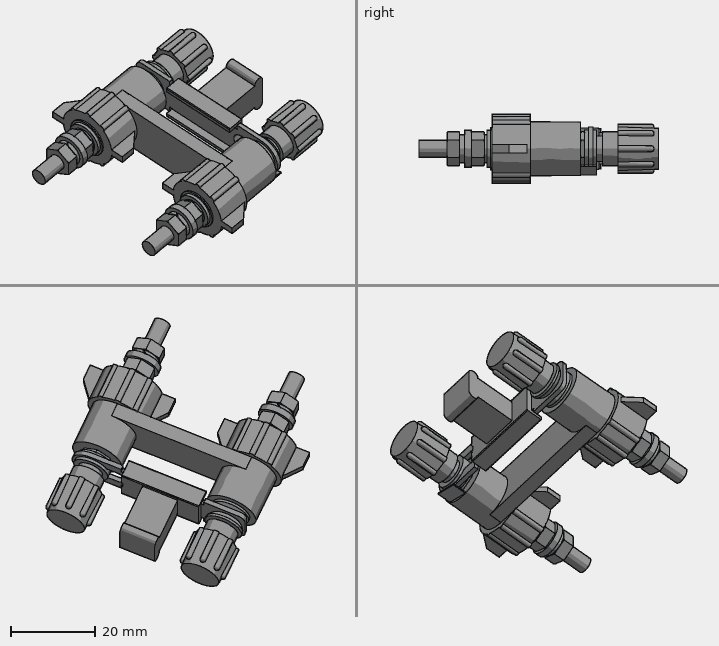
import cadquery as cq
import math

post_x = 17.45
across_flats = 7.0
nut_corner_radius = 3.9
stud_radius = 2.05
washer_radius = 4.45
spring_washer_radius = 3.35
spring_washer_slit = 0.2
spring_washer_slit_angle = 45

outer_nut_start = 6.7
outer_spring_start = 9.7
outer_washer_start = 10.9
inner_nut_start = 12.5
inner_spring_start = 15.55
inner_washer_start = 16.2
flange_start = 17.05
clamp_start = 17.45
body_start = 26.5
body_end = 38.5
link_start = 40.3
link_end = 41.45
collar_start = 43.65
cap_start = 47.3
cap_end = 57.0

flange_radius = 5.0
clamp_radius = 7.7
clamp_rib_radius = 0.75
clamp_height = 16.5
clamp_rib_tip = clamp_height / 2
clamp_rib_angles = (0, 36, 144, 180, 216, 324)
wing_reach = 11.05
wing_thickness = 1.95
wing_shoulder = 21.45
wing_top = 25.65

body_radius = 6.45
body_end_radius = 6.4
neck_radius = 3.1
collar_radius = 4.05
cap_radius = 5.25
cap_end_radius = 4.9
cap_rib_count = 8
cap_rib_radius = 0.75
cap_rib_tip = 5.85
cap_rib_end = 55.9

dish_radius = 4.8
dish_narrow_radius = 4.0
dish_rim = 0.6
dish_bulge = 0.65
upper_dish_end = 43.25
right_nut_end = 39.4
right_washer_end = 42.25

lug_start = 38.2
lug_angle = 70
lug_inner = 5.25
lug_outer = 5.6
lug_width = 5.9

bridge_thickness = 3.5
bridge_height = 12.9

link_half_height = 5.2
link_left_end = -22.25
link_corner_radius = 1.8
slot_half_height = 2.3
slot_left_end = 8.8

handle_x = -0.85
channel_length = 20.05
channel_half_height = 4.95
channel_front = 38.3
channel_back = 42.85
lip_thickness = 1.15
lip_chamfer = 0.2
channel_step = 0.7
grip_width = 9.1
grip_top = 3.9
grip_bottom = -3.65
grip_end = 56.4
bead_radius = 1.4


def disk(start, end, radius):
    """Cylinder about the Y axis."""
    return cq.Workplane("XZ", origin=(0, start, 0)).circle(radius).extrude(start - end)


def cone(start, end, start_radius, end_radius):
    """Truncated cone about the Y axis."""
    solid = cq.Solid.makeCone(
        start_radius, end_radius, end - start, pnt=cq.Vector(0, start, 0), dir=cq.Vector(0, 1, 0)
    )
    return cq.Workplane(obj=solid)


def block(x_range, y_range, z_range):
    """Box between the given limits."""
    limits = (x_range, y_range, z_range)
    sizes = [high - low for low, high in limits]
    corner = tuple(low for low, high in limits)
    return cq.Workplane("XY").box(*sizes, centered=False).translate(corner)


def about_post(shape, angle):
    """Turn a shape about the Y axis, starting from +Z."""
    return shape.rotate((0, 0, 0), (0, 1, 0), angle)


def hex_nut(start, end):
    """Hexagon with corners at +Z and -Z, its corners bevelled at both ends."""
    corner_diameter = across_flats / math.cos(math.pi / 6)
    hexagon = (
        cq.Workplane("XZ", origin=(0, start, 0))
        .transformed(rotate=(0, 0, 90))
        .polygon(6, corner_diameter)
        .extrude(start - end)
    )
    bevel = corner_diameter / 2 - nut_corner_radius
    limit = disk(start, end, corner_diameter / 2).faces("<Y or >Y").chamfer(bevel)
    return hexagon.intersect(limit)


def spring_washer(start, end):
    """Washer split by a slanted slit at +Z."""
    slit_length = 2 * (end - start)
    slit = (
        cq.Workplane("XY")
        .box(spring_washer_slit, slit_length, spring_washer_radius)
        .rotate((0, 0, 0), (0, 0, 1), spring_washer_slit_angle)
        .translate((0, (start + end) / 2, stud_radius + spring_washer_radius / 2))
    )
    return disk(start, end, spring_washer_radius).cut(slit)


def clamp_nut():
    """Ribbed clamp nut with two tapered wings."""
    nut = disk(clamp_start, body_start, clamp_radius)
    rib = disk(clamp_start, body_start, clamp_rib_radius)
    rib = rib.translate((0, 0, clamp_rib_tip - clamp_rib_radius))
    for angle in clamp_rib_angles:
        nut = nut.union(about_post(rib, angle))
    wings = (
        cq.Workplane("XY")
        .moveTo(-wing_reach, clamp_start)
        .lineTo(wing_reach, clamp_start)
        .lineTo(wing_reach, wing_shoulder)
        .lineTo(clamp_radius, wing_top)
        .lineTo(-clamp_radius, wing_top)
        .lineTo(-wing_reach, wing_shoulder)
        .close()
        .extrude(wing_thickness / 2, both=True)
    )
    return nut.union(wings)


def cap():
    """Tapered cap with round-ended grip ribs."""
    knob = cone(cap_start, cap_end, cap_radius, cap_end_radius)
    dome_y = cap_rib_end - cap_rib_radius
    dome = cq.Workplane("XY").sphere(cap_rib_radius).translate((0, dome_y, 0))
    rib = disk(cap_start, dome_y, cap_rib_radius).union(dome)
    rib = rib.translate((0, 0, cap_rib_tip - cap_rib_radius))
    for index in range(cap_rib_count):
        knob = knob.union(about_post(rib, index * 360 / cap_rib_count))
    return knob


def post():
    """Everything the two posts have in common."""
    parts = (
        hex_nut(outer_nut_start, outer_spring_start),
        spring_washer(outer_spring_start, outer_washer_start),
        disk(outer_washer_start, inner_nut_start, washer_radius),
        hex_nut(inner_nut_start, inner_spring_start),
        spring_washer(inner_spring_start, inner_washer_start),
        disk(inner_washer_start, flange_start, washer_radius),
        disk(flange_start, clamp_start, flange_radius),
        clamp_nut(),
        cone(body_start, body_end, body_radius, body_end_radius),
        disk(body_end, collar_start, neck_radius),
        disk(collar_start, cap_start, collar_radius),
        cap(),
    )
    shape = disk(0, body_start, stud_radius)
    for item in parts:
        shape = shape.union(item)
    return shape


def dish(link_face, rim_face):
    """Rounded dish, narrow against the link and wide at its rim."""
    rim_start = rim_face - math.copysign(dish_rim, rim_face - link_face)
    arc_middle = (
        dish_narrow_radius + dish_bulge * (dish_radius - dish_narrow_radius),
        (link_face + rim_start) / 2,
    )
    return (
        cq.Workplane("XY")
        .moveTo(0, link_face)
        .lineTo(dish_narrow_radius, link_face)
        .threePointArc(arc_middle, (dish_radius, rim_start))
        .lineTo(dish_radius, rim_face)
        .lineTo(0, rim_face)
        .close()
        .revolve(360, (0, 0, 0), (0, 1, 0))
    )


def left_post():
    """Post that holds the link between two dishes."""
    shape = post().union(dish(link_start, body_end)).union(dish(link_end, upper_dish_end))
    return shape.translate((-post_x, 0, 0))


def right_post():
    """Post that holds the link with a nut and two washers; a slanted lug stands on its body."""
    lug = block((-lug_width / 2, lug_width / 2), (lug_start, right_washer_end), (lug_inner, lug_outer))
    shape = (
        post()
        .union(hex_nut(body_end, right_nut_end))
        .union(disk(right_nut_end, right_washer_end, washer_radius))
        .union(about_post(lug, 90 + lug_angle))
    )
    return shape.translate((post_x, 0, 0))


def bridge():
    """Plate running from one post axis to the other."""
    half_height = bridge_height / 2
    y_range = (body_start, body_start + bridge_thickness)
    return block((-post_x, post_x), y_range, (-half_height, half_height))


def link():
    """Flat link, round at the right post and narrowed inside the handle channel."""
    y_range = (link_start, link_end)
    plate = block((link_left_end, post_x), y_range, (-link_half_height, link_half_height))
    plate = plate.edges("|Y and <X").fillet(link_corner_radius)
    plate = plate.union(disk(*y_range, link_half_height).translate((post_x, 0, 0)))
    half_step = channel_length / 2 + channel_step
    step_x = (handle_x - half_step, handle_x + half_step)
    step_z = channel_half_height - lip_thickness
    plate = plate.cut(block(step_x, y_range, (step_z, link_half_height)))
    plate = plate.cut(block(step_x, y_range, (-link_half_height, -step_z)))
    return plate


def slot():
    """Slot from the right post through the link and the end of the handle channel."""
    y_range = (link_start, channel_back)
    centre = slot_left_end + slot_half_height
    straight = block((centre, post_x - neck_radius), y_range, (-slot_half_height, slot_half_height))
    return straight.union(disk(*y_range, slot_half_height).translate((centre, 0, 0)))


def handle():
    """Channel over the link and a grip with a bead along each edge of its end."""
    channel_x = (handle_x - channel_length / 2, handle_x + channel_length / 2)
    inside_height = channel_half_height - lip_thickness
    channel = block(channel_x, (channel_front, channel_back), (-channel_half_height, channel_half_height))
    channel = channel.edges("|X").chamfer(lip_chamfer)
    channel = channel.cut(block(channel_x, (channel_front, link_start), (-inside_height, inside_height)))
    grip_x = handle_x - grip_width / 2
    bead_centre = grip_end - bead_radius
    grip = (
        cq.Workplane("YZ", origin=(grip_x, 0, 0))
        .moveTo(link_end, grip_bottom)
        .lineTo(bead_centre - bead_radius, grip_bottom)
        .threePointArc((bead_centre, grip_bottom - bead_radius), (grip_end, grip_bottom))
        .lineTo(grip_end, grip_top)
        .threePointArc((bead_centre, grip_top + bead_radius), (bead_centre - bead_radius, grip_top))
        .lineTo(link_end, grip_top)
        .close()
        .extrude(grip_width)
    )
    return channel.union(grip)


contact_bar = link().union(handle()).cut(slot())
result = left_post().union(right_post()).union(bridge()).union(contact_bar)